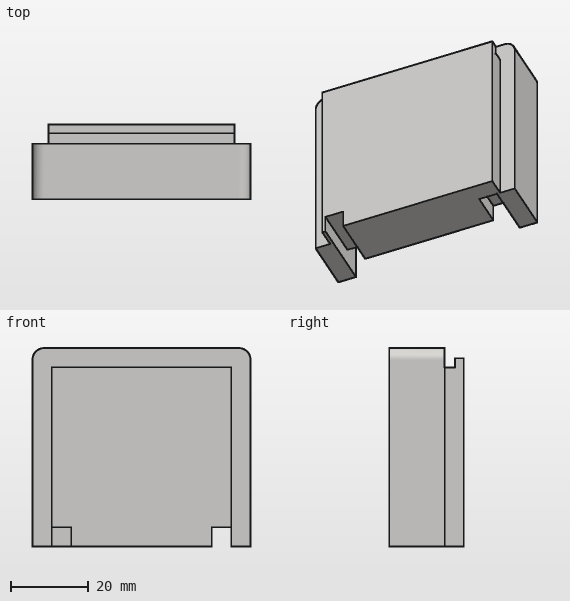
import cadquery as cq

width = 56.0
height = 51.0
frame_depth = 14.3
wall = 5.0
corner_radius = 3.0

panel_setback = 5.4

total_depth = 19.2
plate_width = 47.8
plate_height = 48.4
lip_thickness = 2.3

notch = 5.0

opening_width = width - 2 * wall
opening_height = height - wall


def block(x_min, x_size, y_min, y_max, z_min, z_size):
    """Box given by its lower X and Z corner and its Y range."""
    return cq.Workplane("XY").box(x_size, y_max - y_min, z_size, centered=False).translate((x_min, y_min, z_min))


def make_frame():
    """Rounded block with a pocket in front, closed behind by the panel."""
    body = block(-width / 2, width, 0, frame_depth, 0, height)
    body = body.edges("|Y and >Z").fillet(corner_radius)
    pocket = block(-opening_width / 2, opening_width, 0, panel_setback, 0, opening_height)
    return body.cut(pocket)


def make_rear_plate():
    """Plate with a groove between its top lip and the back of the frame."""
    plate = block(-plate_width / 2, plate_width, frame_depth, total_depth, 0, plate_height)
    groove = block(
        -plate_width / 2, plate_width,
        frame_depth, total_depth - lip_thickness,
        opening_height, plate_height - opening_height,
    )
    return plate.cut(groove)


left_notch = block(-opening_width / 2, notch, panel_setback, frame_depth, 0, notch)
right_notch = block(opening_width / 2 - notch, notch, panel_setback, total_depth, 0, notch)

result = make_frame().cut(left_notch).union(make_rear_plate()).cut(right_notch)